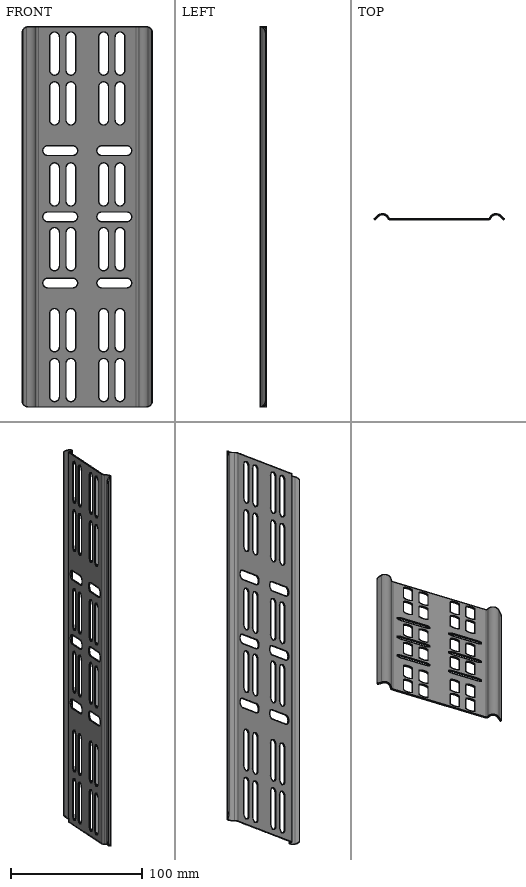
import cadquery as cq
import math

length = 290.0
width = 99.5
depth = 5.0
thickness = 1.0
corner_radius = 5.0

web_half_width = 37.0
ridge_inner_radius = 4.4
bend_inner_radius = 1.5
outer_slope = math.radians(43)

slot_width = 7.2
long_slot = 32.8
cross_slot = 26.5
column_offsets = (12.5, 25.0)
row_offsets = (24.6, 86.5, 124.5)
cross_column_offset = 20.5
cross_row_pitch = 50.5


def polar(centre, radius, angle):
    """Point at an angle measured clockwise from straight up (+Y)."""
    return (centre[0] + radius * math.sin(angle), centre[1] + radius * math.cos(angle))


def ridge_surfaces():
    """Return the points of the +X ridge's upper and lower surfaces, from the web to the edge."""
    ridge_outer_radius = ridge_inner_radius + thickness
    bend_outer_radius = bend_inner_radius + thickness
    bend_centre = (web_half_width, thickness + bend_inner_radius)
    ridge_centre_y = depth - ridge_outer_radius

    centre_distance = bend_inner_radius + ridge_outer_radius
    inner_slope = math.acos((bend_centre[1] - ridge_centre_y) / centre_distance)
    ridge_centre = (web_half_width + centre_distance * math.sin(inner_slope), ridge_centre_y)

    slope_start = polar(ridge_centre, ridge_outer_radius, outer_slope)
    edge_x = width / 2
    upper_edge = (edge_x, slope_start[1] - (edge_x - slope_start[0]) * math.tan(outer_slope))
    lower_edge = polar(upper_edge, -thickness, outer_slope)

    def surface(bend_radius, ridge_radius, edge):
        return {
            "bend_start": polar(bend_centre, bend_radius, math.pi),
            "bend_middle": polar(bend_centre, bend_radius, math.pi - inner_slope / 2),
            "bend_end": polar(bend_centre, bend_radius, math.pi - inner_slope),
            "crest": polar(ridge_centre, ridge_radius, 0),
            "slope_start": polar(ridge_centre, ridge_radius, outer_slope),
            "edge": edge,
        }

    upper = surface(bend_inner_radius, ridge_outer_radius, upper_edge)
    lower = surface(bend_outer_radius, ridge_inner_radius, lower_edge)
    return upper, lower


def make_sheet():
    """Extrude the mirrored sheet profile along Z."""
    upper, lower = ridge_surfaces()
    half = (
        cq.Workplane("XY")
        .moveTo(0, thickness)
        .lineTo(*upper["bend_start"])
        .threePointArc(upper["bend_middle"], upper["bend_end"])
        .threePointArc(upper["crest"], upper["slope_start"])
        .lineTo(*upper["edge"])
        .lineTo(*lower["edge"])
        .lineTo(*lower["slope_start"])
        .threePointArc(lower["crest"], lower["bend_end"])
        .threePointArc(lower["bend_middle"], lower["bend_start"])
        .lineTo(0, 0)
        .close()
        .extrude(length / 2, both=True)
    )
    return half.union(half.mirror("YZ"))


def make_outline():
    """Rounded rectangular blank that trims the four corners of the sheet."""
    return (
        cq.Workplane("XY")
        .box(width, length, length)
        .edges("|Y")
        .fillet(corner_radius)
    )


def make_slots(centres, slot_length, angle):
    """Slot cutters running through the web."""
    return (
        cq.Workplane("XZ")
        .pushPoints(centres)
        .slot2D(slot_length, slot_width, angle)
        .extrude(depth, both=True)
    )


def both_signs(offsets):
    """Each offset on both sides of the centre line."""
    return [sign * offset for offset in offsets for sign in (-1, 1)]


long_centres = [(x, z) for x in both_signs(column_offsets) for z in both_signs(row_offsets)]
cross_centres = [
    (x, row * cross_row_pitch)
    for x in both_signs([cross_column_offset])
    for row in (-1, 0, 1)
]

result = (
    make_sheet()
    .intersect(make_outline())
    .cut(make_slots(long_centres, long_slot, 90))
    .cut(make_slots(cross_centres, cross_slot, 0))
)